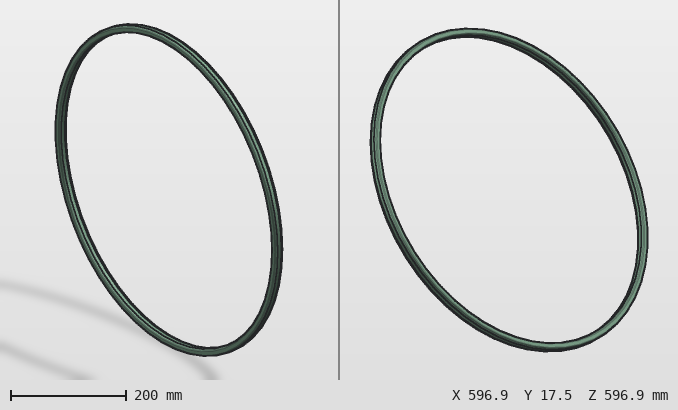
import cadquery as cq
import math

outer_diameter = 596.9
ring_width = 17.46
radial_thickness = 12.7

rim_flat_width = 8.11
taper_angle = 23.0
side_corner_radius = 1.5875

outer_radius = outer_diameter / 2
inner_radius = outer_radius - radial_thickness
half_width = ring_width / 2
half_flat = rim_flat_width / 2
taper_depth = (half_width - half_flat) * math.tan(math.radians(taper_angle))


def ring_section():
    """Eight-sided section in the XY plane, with rounded corners at the side faces."""
    corners = [
        (outer_radius, -half_flat),
        (outer_radius, half_flat),
        (outer_radius - taper_depth, half_width),
        (inner_radius + taper_depth, half_width),
        (inner_radius, half_flat),
        (inner_radius, -half_flat),
        (inner_radius + taper_depth, -half_width),
        (outer_radius - taper_depth, -half_width),
    ]
    section = cq.Sketch().polygon(corners + corners[:1])
    return section.vertices(">Y or <Y").fillet(side_corner_radius)


def revolve_about_y(section):
    """Sweep the section through a full turn about the Y axis."""
    return cq.Workplane("XY").placeSketch(section).revolve(360, (0, 0, 0), (0, 1, 0))


result = revolve_about_y(ring_section())